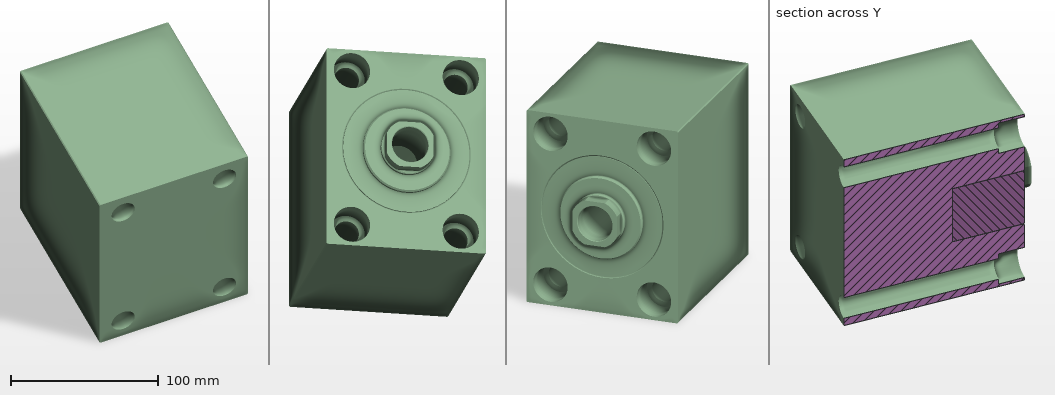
import cadquery as cq


TOTAL_LENGTH = 147.0
ROD_PROTRUSION = 14.0
HOUSING_LENGTH = TOTAL_LENGTH - ROD_PROTRUSION
HOUSING_WIDTH = 110.0
HOUSING_HEIGHT = 140.0
HOUSING_EDGE_CHAMFER = 0.7

BOLT_SPACING_Y = 75.0
BOLT_SPACING_Z = 110.0
BOLT_HOLE_DIAMETER = 17.0
COUNTERBORE_DIAMETER = 25.0
COUNTERBORE_DEPTH = 19.1

COVER_DIAMETER = 87.2
COVER_DEPTH = 52.9
POCKET_CHAMFER = 0.9
BOSS_DIAMETER = 60.0
BOSS_HEIGHT = 3.2
BOSS_CHAMFER_LENGTH = 1.3
BOSS_CHAMFER_WIDTH = 0.9

ROD_DIAMETER = 39.7
COLLAR_DIAMETER = 36.8
COLLAR_LENGTH = 3.0
TIP_DIAMETER = 35.3
COLLAR_CHAMFER = (COLLAR_DIAMETER - TIP_DIAMETER) / 2
TIP_LENGTH = ROD_PROTRUSION - BOSS_HEIGHT - COLLAR_LENGTH
ACROSS_FLATS = 32.0

ROD_HOLE_DIAMETER = 25.0
ROD_HOLE_DEPTH = 40.0
ROD_HOLE_CHAMFER = 0.5
DRILL_POINT_LENGTH = 7.4


def cylinder(diameter, start_x, length):
    """Solid cylinder on the X axis, running from start_x toward +X."""
    return cq.Workplane("YZ", origin=(start_x, 0, 0)).circle(diameter / 2).extrude(length)


def make_housing():
    """Block with a chamfered pocket for the cover and four counterbored bolt holes."""
    block = (
        cq.Workplane("XY")
        .box(HOUSING_LENGTH, HOUSING_WIDTH, HOUSING_HEIGHT)
        .translate((HOUSING_LENGTH / 2, 0, 0))
        .edges("|X")
        .chamfer(HOUSING_EDGE_CHAMFER)
    )

    pocket = cylinder(COVER_DIAMETER, 0, COVER_DEPTH)
    pocket_mouth = (
        cq.Workplane("YZ")
        .circle(COVER_DIAMETER / 2 + POCKET_CHAMFER)
        .workplane(offset=POCKET_CHAMFER)
        .circle(COVER_DIAMETER / 2)
        .loft()
    )
    block = block.cut(pocket).cut(pocket_mouth)

    for side_y in (-1, 1):
        for side_z in (-1, 1):
            position = (0, side_y * BOLT_SPACING_Y / 2, side_z * BOLT_SPACING_Z / 2)
            bolt_hole = cylinder(BOLT_HOLE_DIAMETER, 0, HOUSING_LENGTH).translate(position)
            counterbore = cylinder(COUNTERBORE_DIAMETER, 0, COUNTERBORE_DEPTH).translate(position)
            block = block.cut(bolt_hole).cut(counterbore)
    return block


def make_cover():
    """Disc flush with the housing face, with a chamfered boss and a bore for the rod."""
    boss = (
        cylinder(BOSS_DIAMETER, -BOSS_HEIGHT, BOSS_HEIGHT)
        .faces("<X")
        .chamfer(BOSS_CHAMFER_LENGTH, BOSS_CHAMFER_WIDTH)
    )
    bore = cylinder(ROD_DIAMETER, -BOSS_HEIGHT, BOSS_HEIGHT + COVER_DEPTH)
    return cylinder(COVER_DIAMETER, 0, COVER_DEPTH).union(boss).cut(bore)


def make_rod_hole():
    """Tool shape: chamfered mouth, straight bore and conical bottom."""
    radius = ROD_HOLE_DIAMETER / 2
    mouth_x = -ROD_PROTRUSION
    bottom_x = mouth_x + ROD_HOLE_DEPTH
    return (
        cq.Workplane("XY")
        .moveTo(mouth_x, 0)
        .lineTo(mouth_x, radius + ROD_HOLE_CHAMFER)
        .lineTo(mouth_x + ROD_HOLE_CHAMFER, radius)
        .lineTo(bottom_x, radius)
        .lineTo(bottom_x + DRILL_POINT_LENGTH, 0)
        .close()
        .revolve(360, (0, 0, 0), (1, 0, 0))
    )


def make_rod():
    """Shaft, chamfered collar and four-flat tip, with a blind hole in the end."""
    shaft = cylinder(ROD_DIAMETER, -BOSS_HEIGHT, BOSS_HEIGHT + COVER_DEPTH)
    collar = (
        cylinder(COLLAR_DIAMETER, -BOSS_HEIGHT - COLLAR_LENGTH, COLLAR_LENGTH)
        .faces("<X")
        .chamfer(COLLAR_CHAMFER)
    )
    flats = (
        cq.Workplane("YZ", origin=(-ROD_PROTRUSION, 0, 0))
        .rect(ACROSS_FLATS, ACROSS_FLATS)
        .extrude(TIP_LENGTH)
    )
    tip = cylinder(TIP_DIAMETER, -ROD_PROTRUSION, TIP_LENGTH).intersect(flats)
    return shaft.union(collar).union(tip).cut(make_rod_hole())


housing = make_housing()
cover = make_cover()
rod = make_rod()

result = cq.Compound.makeCompound([housing.val(), cover.val(), rod.val()])